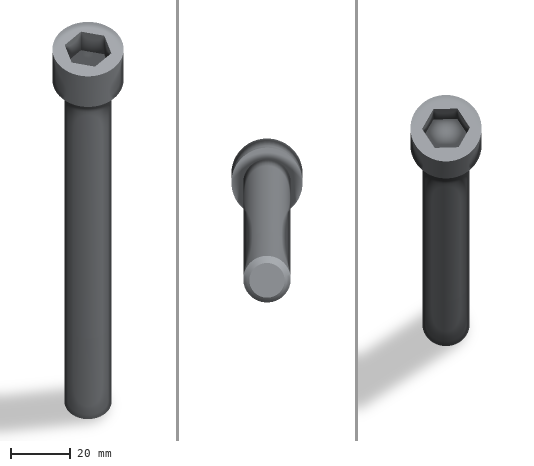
import cadquery as cq
import math

total_length = 186.0
head_diameter = 24.0
shank_diameter = 16.0
head_height = shank_diameter
shank_length = total_length - head_height

thread_length = 44.0
plain_length = shank_length - thread_length
tip_chamfer = 2.0

socket_across_flats = 14.0
socket_depth = 9.7
socket_across_corners = socket_across_flats / math.cos(math.radians(30))


def make_head():
    """Cylindrical head with its hexagonal socket cut from the top."""
    head = cq.Workplane("XY").circle(head_diameter / 2).extrude(head_height)
    socket = (
        cq.Workplane("XY", origin=(0, 0, head_height))
        .polygon(6, socket_across_corners)
        .extrude(-socket_depth)
    )
    return head.cut(socket)


def make_plain_shank():
    """Unthreaded stretch directly below the head."""
    return cq.Workplane("XY").circle(shank_diameter / 2).extrude(-plain_length)


def make_thread_end():
    """Lower stretch of the shank with the chamfer around its tip."""
    end = (
        cq.Workplane("XY", origin=(0, 0, -plain_length))
        .circle(shank_diameter / 2)
        .extrude(-thread_length)
    )
    return end.faces("<Z").edges().chamfer(tip_chamfer)


result = make_head().union(make_plain_shank(), clean=False).union(make_thread_end(), clean=False)